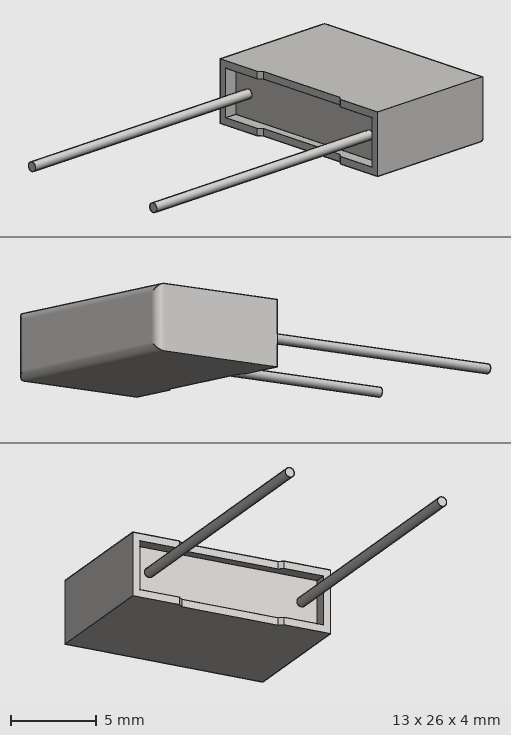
import cadquery as cq

total_length = 26.0
case_width = 13.0
case_length = 9.0
case_height = 4.0
wall = 0.47
back_edge_radius = 0.5

relief_depth = 0.23
relief_rim_width = 6.9
relief_floor_width = 6.32

resin_recess = 0.83
lead_diameter = 0.6
lead_pitch = 10.0

cavity_width = case_width - 2 * wall
cavity_height = case_height - 2 * wall
cavity_depth = case_length - wall
lead_length = total_length - case_length + resin_recess


def block(width, height, y_start, y_end):
    """Box centred on X and Z that runs from y_start to y_end."""
    length = y_end - y_start
    return cq.Workplane("XY").box(width, length, height).translate((0, y_start + length / 2, 0))


def make_rim_relief():
    """Trapezoid with slanted ends, running through both long walls."""
    return (
        cq.Workplane("XY")
        .moveTo(-relief_rim_width / 2, 0)
        .lineTo(relief_rim_width / 2, 0)
        .lineTo(relief_floor_width / 2, relief_depth)
        .lineTo(-relief_floor_width / 2, relief_depth)
        .close()
        .extrude(case_height / 2, both=True)
    )


def make_case():
    """Box open at the rim, rounded around its closed back."""
    case = block(case_width, case_height, 0, case_length)
    case = case.faces(">Y").edges().fillet(back_edge_radius)
    case = case.cut(block(cavity_width, cavity_height, 0, cavity_depth))
    return case.cut(make_rim_relief())


def make_resin():
    """Potting resin that fills the cavity up to the recessed surface."""
    return block(cavity_width, cavity_height, resin_recess, cavity_depth)


def make_lead(x):
    """Straight round wire standing on the resin surface."""
    return (
        cq.Workplane("XZ", origin=(x, resin_recess, 0))
        .circle(lead_diameter / 2)
        .extrude(lead_length)
    )


case = make_case()
resin = make_resin()
leads = [make_lead(side * lead_pitch / 2) for side in (-1, 1)]

result = cq.Compound.makeCompound([case.val(), resin.val(), *[lead.val() for lead in leads]])